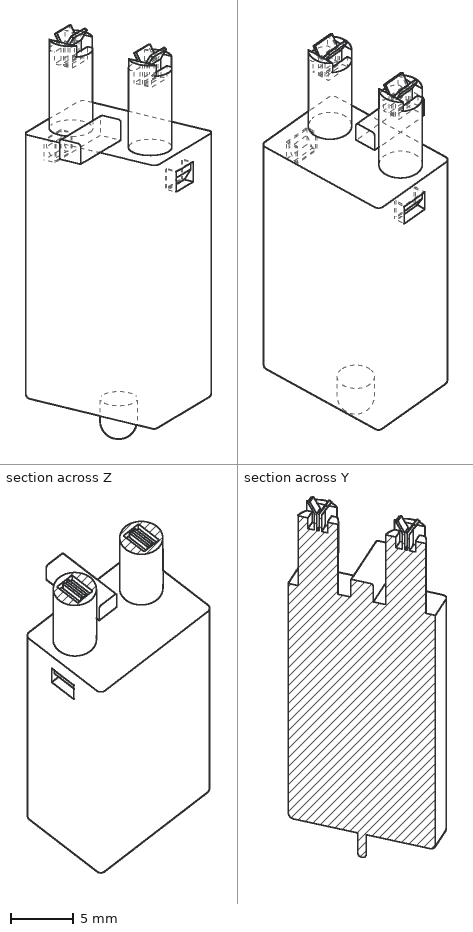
import cadquery as cq
import math


total_height = 34.83

body_width = 12.6
body_depth = 8.6
body_height = 23.0
edge_radius = 0.5

lamp_radius = 1.5
lamp_length = 3.4

pin_radius = 1.75
pin_spacing = 7.52
pin_y = -1.2
pin_height = 7.75
slot_width = 2.3
slot_depth = 0.95
socket_length = 1.67
socket_depth = 1.05

sheet_thickness = 0.25
blade_angle = math.radians(30)
blade_width = 2.05
blade_gap = 0.17
blade_bend_below_pin_top = 0.42

key_width = 2.0
key_height = 1.75
key_overhang = 2.9
key_edge_radius = 0.25

window_width = 2.5
window_height = 1.75
window_depth = 1.05
window_below_top = 1.53
latch_width = 2.2
latch_recess = 0.15
latch_straight_height = 0.63
latch_bottom_clearance = 0.1

body_top = body_height
pin_top = body_top + pin_height
slot_floor = pin_top - slot_depth
socket_floor = slot_floor - socket_depth
blade_top = total_height - lamp_length
front_y = -body_depth / 2
window_top = body_top - window_below_top
window_bottom = window_top - window_height


def extrude_profile(points, width, center_y):
    """Extrude a closed XZ outline along Y, centred on center_y."""
    plane = cq.Workplane("XZ", origin=(0, center_y, 0))
    return plane.polyline(points).close().extrude(width / 2, both=True)


def make_body():
    box = cq.Workplane("XY").box(body_width, body_depth, body_height, centered=(True, True, False))
    return box.edges("|Z or <Z").fillet(edge_radius)


def make_lamp():
    """Round post reaching into the body, with a hemispherical end."""
    dome_center = lamp_radius - lamp_length
    post = cq.Workplane("XY").workplane(offset=dome_center).circle(lamp_radius)
    post = post.extrude(edge_radius - dome_center)
    dome = cq.Workplane("XY").sphere(lamp_radius).translate((0, 0, dome_center))
    return post.union(dome)


def make_key():
    length = pin_y - front_y + key_overhang
    bar = cq.Workplane("XY").box(key_width, length, key_height, centered=(True, False, False))
    bar = bar.edges("|Y and >Z").fillet(key_edge_radius)
    return bar.translate((0, front_y - key_overhang, body_top))


def make_blade():
    """Right-hand blade of a pin: upright at the root, flared outward above the bend."""
    lean = math.tan(blade_angle)
    inner_x = blade_gap / 2
    outer_x = inner_x + sheet_thickness
    outer_bend = pin_top - blade_bend_below_pin_top
    inner_bend = outer_bend + sheet_thickness * math.tan(blade_angle / 2)
    tip_x = inner_x + (blade_top - inner_bend) * lean
    outer_tip_x = tip_x + sheet_thickness * math.cos(blade_angle)
    outer_tip_z = blade_top - sheet_thickness * math.sin(blade_angle)
    outline = [
        (inner_x, socket_floor),
        (outer_x, socket_floor),
        (outer_x, outer_bend),
        (outer_tip_x, outer_tip_z),
        (tip_x, blade_top),
        (inner_x, inner_bend),
    ]
    return extrude_profile(outline, blade_width, pin_y)


def make_pin():
    """Slotted cylinder with a V of two spring blades standing in a socket in the slot floor."""
    pin = cq.Workplane("XY").workplane(offset=body_top).center(0, pin_y)
    pin = pin.circle(pin_radius).extrude(pin_height)
    slot = cq.Workplane("XY").box(2 * pin_radius, slot_width, slot_depth, centered=(True, True, False))
    pin = pin.cut(slot.translate((0, pin_y, slot_floor)))
    socket = cq.Workplane("XY").box(socket_length, slot_width, socket_depth, centered=(True, True, False))
    pin = pin.cut(socket.translate((0, pin_y, socket_floor)))
    blade = make_blade()
    return pin.union(blade).union(blade.mirror("YZ"))


def make_window():
    """Blind pocket in the left side wall."""
    pocket = cq.Workplane("XY").box(
        window_depth, window_width, window_height, centered=(False, True, False)
    )
    return pocket.translate((-body_width / 2, 0, window_bottom))


def make_latch():
    """Catch in the left window: upright at the top, its face sloping inward below."""
    face_x = latch_recess - body_width / 2
    back_x = window_depth - body_width / 2
    slope_top = window_top - latch_straight_height
    latch_bottom = window_bottom + latch_bottom_clearance
    toe_x = face_x + (slope_top - latch_bottom) * math.tan(blade_angle)
    outline = [
        (face_x, window_top),
        (face_x, slope_top),
        (toe_x, latch_bottom),
        (back_x, latch_bottom),
        (back_x, window_top),
    ]
    return extrude_profile(outline, latch_width, 0)


body = make_body()
window = make_window()
latch = make_latch()
body = body.cut(window).cut(window.mirror("YZ"))
body = body.union(latch).union(latch.mirror("YZ"))

result = body.union(make_lamp()).union(make_key())
pin = make_pin()
for side in (-1, 1):
    result = result.union(pin.translate((side * pin_spacing / 2, 0, 0)))